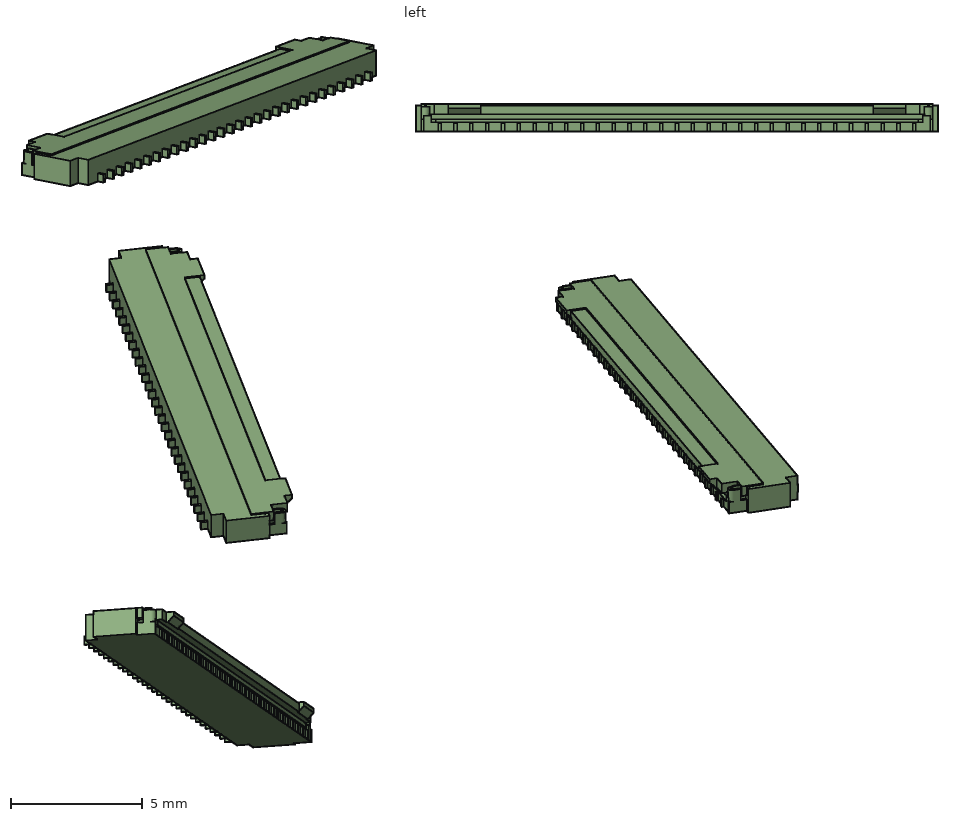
import cadquery as cq

LENGTH = 19.8
HALF_LENGTH = LENGTH / 2
BASE_FRONT_X = 0.44
SHOULDER_X = 1.13
EAR_REAR_X = 2.81
REAR_X = 3.29
REAR_HALF_WIDTH = 9.39
SIDE_BLOCK_TOP = 0.6
OPENING_HALF_WIDTH = 9.33
CABLE_FLOOR = 0.35
SLOT_HALF_WIDTH = 9.15
SLOT_END_X = 2.18

COVER_TOP = 1.05
COVER_PLATE = 0.05
HOUSING_TOP = COVER_TOP - COVER_PLATE
COVER_STEP_X = 1.25
COVER_BOTTOM = 0.65
COVER_REAR_X = 1.8
COVER_FRONT_X = 0.3
COVER_HALF_WIDTH = 9.7
COVER_LIP_BOTTOM = 0.48
COVER_LIP_FRONT_X = 0.51
NOSE_END_Y = 8.67
NOSE_START_Y = 7.45
NOSE_TIP_BOTTOM = 0.9
BEVEL_END_X = 0.24
RECESS_FRONT_X = 0.18
RECESS_REAR_X = 0.77
RECESS_FLOOR = 0.99
NOTCH_REAR_X = 0.93
NOTCH_INNER_Y = 9.2
ARM_FRONT_X = 0.61
ARM_WIDTH = 0.05

FRONT_TAIL_COUNT = 31
REAR_TAIL_COUNT = FRONT_TAIL_COUNT - 1
FRONT_ROW_SPAN = 18.0
TAIL_PITCH = FRONT_ROW_SPAN / (FRONT_TAIL_COUNT - 1)
TAIL_WIDTH = 0.12
TAIL_HEIGHT = 0.32
FRONT_TAIL_X = 0.35
REAR_TAIL_X = 3.55

HOLD_DOWN_FRONT_X = 0.42
HOLD_DOWN_THICKNESS = 0.1
HOLD_DOWN_OUTER_Y = COVER_HALF_WIDTH
HOLD_DOWN_INNER_Y = HOLD_DOWN_OUTER_Y - HOLD_DOWN_THICKNESS
HOLD_DOWN_BASE_TOP = 0.48
HOOK_TOP = 0.95
HOOK_FRONT_X = BASE_FRONT_X
HOOK_REAR_X = 0.9
HOOK_RADIUS = 0.15
HOOK_INNER_RADIUS = HOOK_RADIUS - HOLD_DOWN_THICKNESS
HOOK_CENTER_X = HOOK_FRONT_X + HOOK_RADIUS
HOOK_CENTER_Y = HOLD_DOWN_OUTER_Y - HOOK_RADIUS


def block(x_min, x_max, y_min, y_max, z_min, z_max):
    """Box between the given limits."""
    return cq.Workplane("XY").box(
        x_max - x_min, y_max - y_min, z_max - z_min, centered=False
    ).translate((x_min, y_min, z_min))


def wide_block(x_min, x_max, half_width, z_min, z_max):
    """Box centred on Y."""
    return block(x_min, x_max, -half_width, half_width, z_min, z_max)


def mirrored_pair(shape):
    """The shape at +Y together with its mirror image at -Y."""
    return shape.union(shape.mirror("XZ"))


def make_base():
    """Housing without cover: stepped plan, low front with the cable opening and slot."""
    base = wide_block(SHOULDER_X, REAR_X, REAR_HALF_WIDTH, 0, HOUSING_TOP)
    base = base.union(wide_block(SHOULDER_X, EAR_REAR_X, HALF_LENGTH, 0, HOUSING_TOP))
    base = base.union(wide_block(BASE_FRONT_X, SHOULDER_X, HOLD_DOWN_INNER_Y, 0, SIDE_BLOCK_TOP))
    base = base.cut(wide_block(BASE_FRONT_X, SHOULDER_X, OPENING_HALF_WIDTH, CABLE_FLOOR, HOUSING_TOP))
    return base.cut(wide_block(BASE_FRONT_X, SLOT_END_X, SLOT_HALF_WIDTH, CABLE_FLOOR, COVER_LIP_BOTTOM))


def make_nose():
    """Front nose of the cover at +Y, bevelled below its tip."""
    return (
        cq.Workplane("XZ", origin=(0, NOSE_END_Y, 0))
        .moveTo(0, COVER_TOP)
        .lineTo(0, NOSE_TIP_BOTTOM)
        .lineTo(BEVEL_END_X, COVER_BOTTOM)
        .lineTo(RECESS_REAR_X, COVER_BOTTOM)
        .lineTo(RECESS_REAR_X, COVER_TOP)
        .close()
        .extrude(NOSE_END_Y - NOSE_START_Y)
    )


def make_cover():
    """Closed cover: front plate, thin rear plate over the housing, cable lip, noses and arms."""
    cover = wide_block(COVER_FRONT_X, COVER_STEP_X, COVER_HALF_WIDTH, COVER_BOTTOM, COVER_TOP)
    cover = cover.union(wide_block(COVER_STEP_X, COVER_REAR_X, COVER_HALF_WIDTH, HOUSING_TOP, COVER_TOP))
    cover = cover.union(
        wide_block(COVER_LIP_FRONT_X, SHOULDER_X, OPENING_HALF_WIDTH, COVER_LIP_BOTTOM, COVER_BOTTOM)
    )
    notch = block(COVER_FRONT_X, NOTCH_REAR_X, NOTCH_INNER_Y, COVER_HALF_WIDTH, COVER_BOTTOM, COVER_TOP)
    cover = cover.cut(mirrored_pair(notch))
    arm = block(
        ARM_FRONT_X,
        NOTCH_REAR_X,
        HOOK_CENTER_Y - ARM_WIDTH / 2,
        HOOK_CENTER_Y + ARM_WIDTH / 2,
        COVER_BOTTOM,
        COVER_TOP,
    )
    cover = cover.union(mirrored_pair(arm)).union(mirrored_pair(make_nose()))
    strip = wide_block(RECESS_FRONT_X, RECESS_REAR_X, NOSE_START_Y, COVER_BOTTOM, RECESS_FLOOR)
    above_strip = wide_block(RECESS_FRONT_X, RECESS_REAR_X, NOSE_START_Y, RECESS_FLOOR, COVER_TOP)
    return cover.union(strip).cut(above_strip)


def make_tail_row(count, x_min, x_max):
    """Row of contact tails centred on Y."""
    row = cq.Workplane("XY")
    for index in range(count):
        y = (index - (count - 1) / 2) * TAIL_PITCH
        row = row.add(block(x_min, x_max, y - TAIL_WIDTH / 2, y + TAIL_WIDTH / 2, 0, TAIL_HEIGHT))
    return row.combine()


def make_hold_down():
    """Hold-down at +Y: flat base plate with a U-shaped hook bent around the cover arm."""
    plate = block(HOLD_DOWN_FRONT_X, SHOULDER_X, HOLD_DOWN_INNER_Y, HOLD_DOWN_OUTER_Y, 0, HOLD_DOWN_BASE_TOP)
    hook = (
        cq.Workplane("XY", origin=(0, 0, HOLD_DOWN_BASE_TOP))
        .moveTo(HOOK_REAR_X, HOLD_DOWN_OUTER_Y)
        .lineTo(HOOK_CENTER_X, HOLD_DOWN_OUTER_Y)
        .threePointArc((HOOK_FRONT_X, HOOK_CENTER_Y), (HOOK_CENTER_X, HOOK_CENTER_Y - HOOK_RADIUS))
        .lineTo(HOOK_REAR_X, HOOK_CENTER_Y - HOOK_RADIUS)
        .lineTo(HOOK_REAR_X, HOOK_CENTER_Y - HOOK_INNER_RADIUS)
        .lineTo(HOOK_CENTER_X, HOOK_CENTER_Y - HOOK_INNER_RADIUS)
        .threePointArc(
            (HOOK_CENTER_X - HOOK_INNER_RADIUS, HOOK_CENTER_Y),
            (HOOK_CENTER_X, HOOK_CENTER_Y + HOOK_INNER_RADIUS),
        )
        .lineTo(HOOK_REAR_X, HOOK_CENTER_Y + HOOK_INNER_RADIUS)
        .close()
        .extrude(HOOK_TOP - HOLD_DOWN_BASE_TOP)
    )
    return plate.union(hook)


cover = make_cover()

housing = make_base().cut(cover)
housing = housing.union(make_tail_row(FRONT_TAIL_COUNT, FRONT_TAIL_X, BASE_FRONT_X))
housing = housing.union(make_tail_row(REAR_TAIL_COUNT, REAR_X, REAR_TAIL_X))
housing = housing.union(mirrored_pair(make_hold_down()))

result = cq.Compound.makeCompound([housing.solids().val(), cover.solids().val()])